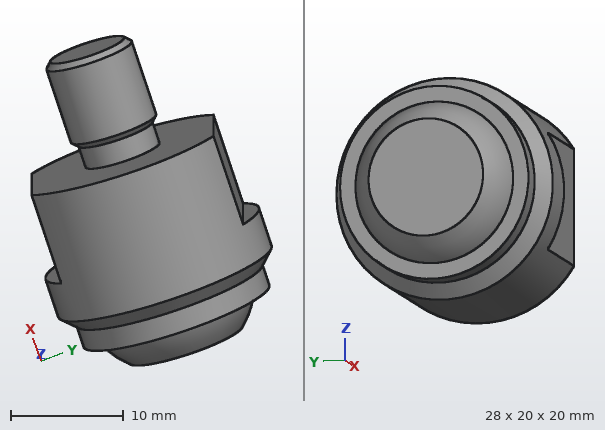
import cadquery as cq
import math

BODY_RADIUS = 10.0
COLLAR_RADIUS = 8.7
COLLAR_FRONT_X = 2.7
COLLAR_LENGTH = 2.0
CONE_LENGTH = 1.3
BODY_BACK_X = 18.0

STUD_RADIUS = 4.0
STUD_CHAMFER = 0.54
NECK_RADIUS = STUD_RADIUS - STUD_CHAMFER
NECK_LENGTH = 2.0
STUD_LENGTH = 10.0

ACROSS_FLATS = 17.0
FLAT_LENGTH = 8.4

BALL_RADIUS = 8.0
BALL_CENTER_X = 6.0


def make_ball():
    """Sphere trimmed flat at X = 0, built by revolving its half section about X."""
    flat_radius = math.sqrt(BALL_RADIUS**2 - BALL_CENTER_X**2)
    return (
        cq.Workplane("XY")
        .moveTo(0, 0)
        .lineTo(0, flat_radius)
        .threePointArc((BALL_CENTER_X, BALL_RADIUS), (BALL_CENTER_X + BALL_RADIUS, 0))
        .close()
        .revolve(360, (0, 0, 0), (1, 0, 0))
    )


def make_turned_blank():
    """Collar, cone, body, neck and chamfered stud as one revolved profile."""
    collar_back_x = COLLAR_FRONT_X + COLLAR_LENGTH
    neck_back_x = BODY_BACK_X + NECK_LENGTH
    stud_end_x = BODY_BACK_X + STUD_LENGTH
    return (
        cq.Workplane("XY")
        .moveTo(COLLAR_FRONT_X, 0)
        .lineTo(COLLAR_FRONT_X, COLLAR_RADIUS)
        .lineTo(collar_back_x, COLLAR_RADIUS)
        .lineTo(collar_back_x + CONE_LENGTH, BODY_RADIUS)
        .lineTo(BODY_BACK_X, BODY_RADIUS)
        .lineTo(BODY_BACK_X, NECK_RADIUS)
        .lineTo(neck_back_x, NECK_RADIUS)
        .lineTo(neck_back_x + STUD_CHAMFER, STUD_RADIUS)
        .lineTo(stud_end_x - STUD_CHAMFER, STUD_RADIUS)
        .lineTo(stud_end_x, STUD_RADIUS - STUD_CHAMFER)
        .lineTo(stud_end_x, 0)
        .close()
        .revolve(360, (0, 0, 0), (1, 0, 0))
    )


def make_flat_cutter(side):
    """Block that removes the rim beyond one wrench flat; side is +1 or -1."""
    block_depth = BODY_RADIUS
    return cq.Workplane("XY").box(FLAT_LENGTH, block_depth, 2 * BODY_RADIUS).translate(
        (BODY_BACK_X - FLAT_LENGTH / 2, side * (ACROSS_FLATS + block_depth) / 2, 0)
    )


ball = make_ball()

housing = make_turned_blank().cut(ball)
for side in (-1, 1):
    housing = housing.cut(make_flat_cutter(side))

result = cq.Compound.makeCompound([housing.val(), ball.val()])